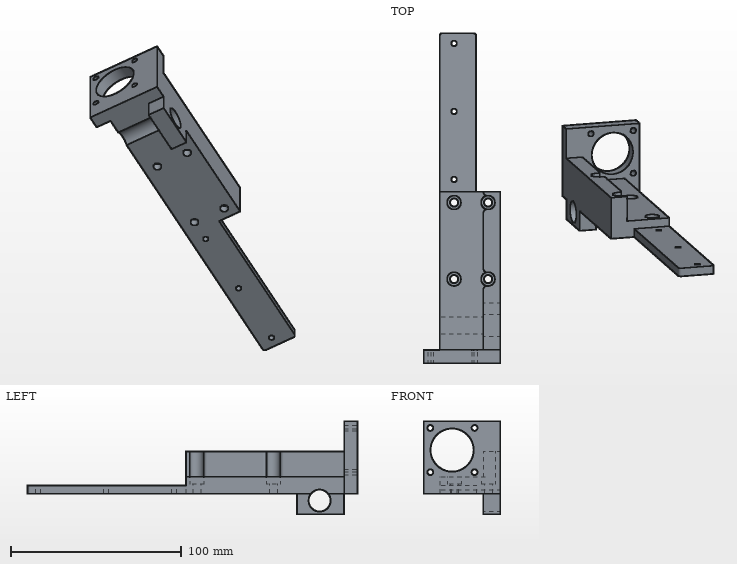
import cadquery as cq

total_length = 194.0

plate_width = 45.0
plate_height = 42.9
plate_thickness = 8.0
bore_x = 16.7
bore_z = 25.8
bore_diameter = 25.2
screw_spacing = 26.0
screw_diameter = 3.3
screw_offset_x = 0.2

base_left = 9.3
base_end = 100.9
base_height = 10.0
wall_left = 35.1
wall_height = 25.0

mount_left_x = 17.9
mount_spacing_x = 20.0
mount_front_y = 49.5
mount_spacing_y = 45.0
mount_diameter = 4.7
counterbore_diameter = 8.1
counterbore_depth = 4.0
scallop_fillet = 2.0
selection_margin = 0.2

rail_width = 21.5
rail_height = 5.0
rail_corner = 1.5
rail_hole_first_y = 108.0
rail_hole_spacing = 40.0
rail_hole_count = 3
rail_hole_diameter = 3.1

lug_width = 10.0
lug_height = 12.0
lug_end = 35.7
cross_hole_y = 22.3
cross_hole_z = -3.9
cross_hole_diameter = 12.8


def block(x_min, x_max, y_min, y_max, z_min, z_max):
    """Box given by its limits along each axis."""
    size = (x_max - x_min, y_max - y_min, z_max - z_min)
    return cq.Workplane("XY").box(*size, centered=False).translate((x_min, y_min, z_min))


def vertical_cylinder(x, y, diameter, z_min, z_max):
    """Upright cylinder between two heights."""
    plane = cq.Workplane("XY", origin=(x, y, z_min))
    return plane.circle(diameter / 2).extrude(z_max - z_min)


def make_plate():
    """Upright plate with a large bore and four screw holes around it."""
    plate = block(0, plate_width, 0, plate_thickness, 0, plate_height)
    bore_plane = cq.Workplane("XZ", origin=(bore_x, 0, bore_z))
    bore = bore_plane.circle(bore_diameter / 2).extrude(-plate_thickness)
    screws = (
        bore_plane.center(screw_offset_x, 0)
        .rect(screw_spacing, screw_spacing, forConstruction=True)
        .vertices()
        .circle(screw_diameter / 2)
        .extrude(-plate_thickness)
    )
    return plate.cut(bore).cut(screws)


def make_body():
    """Base and wall, with counterbores that break through the wall face."""
    mount_ys = [mount_front_y, mount_front_y + mount_spacing_y]
    wall_mount_x = mount_left_x + mount_spacing_x
    counterbore_floor = base_height - counterbore_depth

    wall = block(wall_left, plate_width, plate_thickness, base_end, base_height, wall_height)
    for y in mount_ys:
        wall = wall.cut(vertical_cylinder(wall_mount_x, y, counterbore_diameter, base_height, wall_height))
    mouth_edges = cq.selectors.BoxSelector(
        (wall_left - selection_margin, mount_ys[0] - counterbore_diameter / 2, base_height),
        (wall_left + selection_margin, mount_ys[1] + counterbore_diameter / 2, wall_height),
    )
    wall = wall.edges("|Z").edges(mouth_edges).fillet(scallop_fillet)

    body = block(base_left, plate_width, plate_thickness, base_end, 0, base_height).union(wall)
    for y in mount_ys:
        for x in (mount_left_x, wall_mount_x):
            body = body.cut(vertical_cylinder(x, y, mount_diameter, 0, base_height))
            body = body.cut(vertical_cylinder(x, y, counterbore_diameter, counterbore_floor, base_height))
    return body


def make_rail():
    """Thin rail with rounded far corners and a row of holes."""
    rail = block(base_left, base_left + rail_width, base_end, total_length, 0, rail_height)
    rail = rail.edges("|Z and >Y").fillet(rail_corner)
    for index in range(rail_hole_count):
        y = rail_hole_first_y + index * rail_hole_spacing
        rail = rail.cut(vertical_cylinder(mount_left_x, y, rail_hole_diameter, 0, rail_height))
    return rail


def make_lug():
    """Block hanging below the base, behind the plate."""
    return block(plate_width - lug_width, plate_width, plate_thickness, lug_end, -lug_height, 0)


def make_cross_hole():
    """Cylinder along X that drills the lug and grooves the base underside."""
    plane = cq.Workplane("YZ", origin=(0, cross_hole_y, cross_hole_z))
    return plane.circle(cross_hole_diameter / 2).extrude(plate_width)


result = make_plate().union(make_body()).union(make_rail()).union(make_lug()).cut(make_cross_hole())